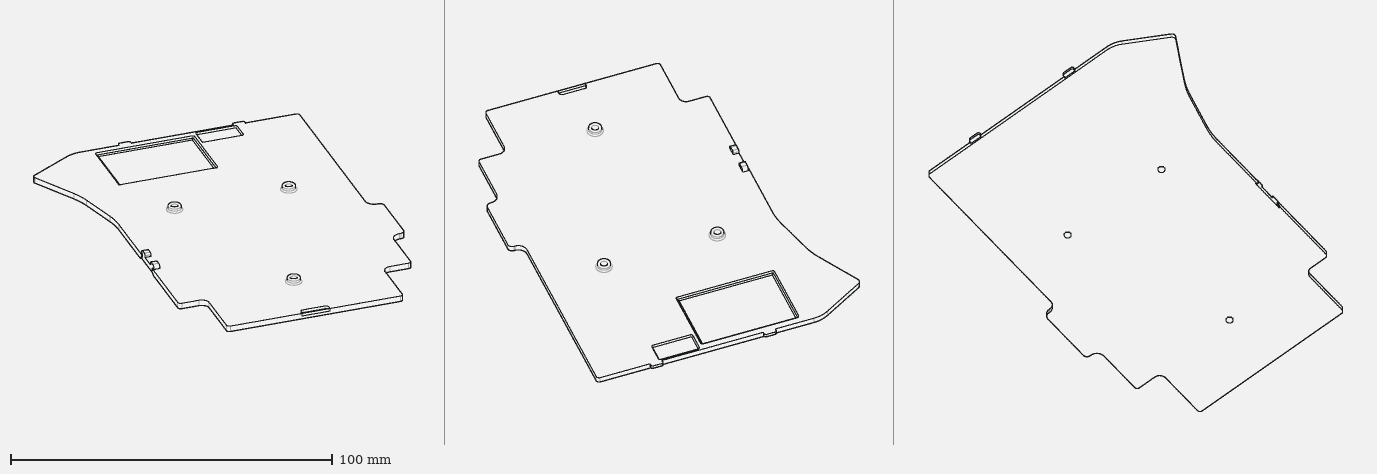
import cadquery as cq
import math

thickness = 2.0
length = 121.4
width = 77.3
centre_y = width / 2

step_x = 102.4
wing_low = 9.2
wing_high = 67.6

top_tab_centre = 73.3
top_tab_width = 20.4
top_tab_height = 4.8
top_tab_left = top_tab_centre - top_tab_width / 2
top_tab_right = top_tab_centre + top_tab_width / 2

tip_edge_start = 2.1
bend_x = 45.0
bend_angle = math.radians(15)
tip_angle = math.radians(30)
mid_bend_x = 27.0
mid_bend_y = (mid_bend_x - bend_x) * math.tan(bend_angle)
tip_x = (tip_edge_start - mid_bend_y + mid_bend_x * math.tan(tip_angle)) / (
    math.tan(tip_angle) + 1 / math.tan(tip_angle)
)
tip_y = tip_edge_start - tip_x / math.tan(tip_angle)

corner_radius = 1.0
tip_radius = 1.2
wing_inner_radius = 2.5
tab_corner_radius = 1.5
tab_inner_radius = 3.0
tip_edge_radius = 10.0
bend_radius = 22.1

boss_diameter = 4.2
boss_hole = 2.2
boss_top = 3.7
boss_base_fillet = 0.5
boss_lip_radius = (boss_diameter - boss_hole) / 4
boss_spacing = 37.9
boss_left_x = 44.8
boss_right_x = 101.1
boss_low = centre_y - boss_spacing / 2
boss_high = centre_y + boss_spacing / 2

side_tab_reach = 1.2
side_tab_width = 4.0
side_tab_bottom = 0.9
side_tab_radius = 0.6

small_pocket = {"x": (0.6, 7.2), "y": (42.7, 56.4), "bands": [(0.4, 0.6)]}
large_pocket = {"x": (2.2, 24.0), "y": (8.8, 41.7), "bands": [(0.4, 0.6), (0.5, 0.4)]}
pocket_corner = 0.6

slot_reach = 2.1
slot_width = 9.2
slot_depth = 1.0
slot_wall = 0.1
slot_radius = 1.0

hook_centre = 73.2
hook_top = 3.2
hook_thickness = 2.0
hook_outer = 5.8
hook_neck = 4.8
hook_inner = 2.5
hook_inner_round = 0.6
recess_depth = 0.4
recess_flare_height = 1.1


def make_plate():
    """Plate with all its outline corners rounded."""
    corners = [
        (0, tip_edge_start, tip_edge_radius),
        (tip_x, tip_y, tip_radius),
        (mid_bend_x, mid_bend_y, bend_radius),
        (bend_x, 0, bend_radius),
        (step_x, 0, corner_radius),
        (step_x, wing_low, wing_inner_radius),
        (length, wing_low, corner_radius),
        (length, wing_high, corner_radius),
        (step_x, wing_high, wing_inner_radius),
        (step_x, width, corner_radius),
        (top_tab_right, width, tab_inner_radius),
        (top_tab_right, width + top_tab_height, tab_corner_radius),
        (top_tab_left, width + top_tab_height, tab_corner_radius),
        (top_tab_left, width, tab_inner_radius),
        (0, width, corner_radius),
    ]
    outline = [(x, y) for x, y, radius in corners]
    plate = cq.Workplane("XY").polyline(outline).close().extrude(thickness)
    for x, y, radius in corners:
        upright = cq.selectors.NearestToPointSelector((x, y, thickness / 2))
        plate = plate.edges("|Z").edges(upright).fillet(radius)
    return plate


def make_side_tab(y):
    """Tab with rounded outer corners, flush with the top of the plate."""
    reach_inside = 0.6
    return (
        cq.Workplane("XY", origin=(-side_tab_reach, y, side_tab_bottom))
        .box(
            side_tab_reach + reach_inside, side_tab_width, thickness - side_tab_bottom,
            centered=(False, True, False),
        )
        .edges("|Z and <X").fillet(side_tab_radius)
    )


def make_boss(x, y):
    """Ring with a flared base and a fully rounded lip, turned about its own axis."""
    radius = boss_diameter / 2
    hole_radius = boss_hole / 2
    lip_start = boss_top - boss_lip_radius
    flare_end = thickness + boss_base_fillet
    flare_mid = boss_base_fillet * (1 - math.sqrt(0.5))
    profile = (
        cq.Workplane("XZ")
        .moveTo(hole_radius, 0)
        .lineTo(radius + boss_base_fillet, 0)
        .lineTo(radius + boss_base_fillet, thickness)
        .threePointArc((radius + flare_mid, thickness + flare_mid), (radius, flare_end))
        .lineTo(radius, lip_start)
        .radiusArc((radius - boss_lip_radius, boss_top), -boss_lip_radius)
        .radiusArc((hole_radius, lip_start), -boss_lip_radius)
        .close()
    )
    return profile.revolve(360, (0, 0, 0), (0, 1, 0)).translate((x, y, 0))


def make_pocket(x, y, bands):
    """Pocket cutter narrowing toward its floor, one sloping band of wall after another."""
    centre = ((x[0] + x[1]) / 2, (y[0] + y[1]) / 2)
    size_x = x[1] - x[0]
    size_y = y[1] - y[0]
    level = thickness
    corner = pocket_corner
    cutter = cq.Workplane("XY")
    for run, drop in bands:
        outline = cq.Sketch().rect(size_x, size_y).vertices().fillet(corner)
        slope = math.degrees(math.atan2(run, drop))
        band = cq.Workplane("XY").placeSketch(outline).extrude(-drop, taper=slope)
        cutter = cutter.union(band.translate((*centre, level)))
        size_x -= 2 * run
        size_y -= 2 * run
        corner -= run
        level -= drop
    return cutter


def make_end_slot():
    """Cutter for the slot along the right end."""
    slot_run = slot_reach - slot_wall
    return (
        cq.Workplane("XY", origin=(length - slot_reach, centre_y, thickness - slot_depth))
        .box(slot_run, slot_width, 2 * slot_depth, centered=(False, True, False))
        .edges("|Z and <X").fillet(slot_radius)
    )


def make_hook():
    """Right-hand hook of the pair, with the pair's middle at X = 0."""
    shoulder_radius = hook_top - thickness
    profile = (
        cq.Workplane("XZ", origin=(0, recess_depth, 0))
        .moveTo(hook_inner, 0)
        .lineTo(hook_neck, 0)
        .lineTo(hook_neck, thickness)
        .lineTo(hook_outer, thickness)
        .radiusArc((hook_outer - shoulder_radius, hook_top), -shoulder_radius)
        .lineTo(hook_inner + hook_inner_round, hook_top)
        .radiusArc((hook_inner, hook_top - hook_inner_round), -hook_inner_round)
        .close()
    )
    return profile.extrude(-hook_thickness)


def make_hook_recess():
    """Cutter that sets the plate edge back below the hooks and flares toward the underside."""
    return (
        cq.Workplane("XZ", origin=(hook_centre, recess_depth, 0))
        .polyline([
            (-hook_outer, 0),
            (hook_outer, 0),
            (hook_neck, recess_flare_height),
            (hook_neck, thickness),
            (-hook_neck, thickness),
            (-hook_neck, recess_flare_height),
        ])
        .close()
        .extrude(2 * recess_depth)
    )


result = make_plate()

for tab_y in (boss_low, boss_high):
    result = result.union(make_side_tab(tab_y))

for pocket in (small_pocket, large_pocket):
    result = result.cut(make_pocket(**pocket))
result = result.cut(make_end_slot())

result = result.cut(make_hook_recess())
right_hook = make_hook()
for hook in (right_hook, right_hook.mirror("YZ")):
    result = result.union(hook.translate((hook_centre, 0, 0)))

for boss_x, boss_y in (
    (boss_left_x, boss_low),
    (boss_left_x, boss_high),
    (boss_right_x, centre_y),
):
    hole = cq.Workplane("XY", origin=(boss_x, boss_y, 0)).circle(boss_hole / 2).extrude(boss_top)
    result = result.union(make_boss(boss_x, boss_y)).cut(hole)